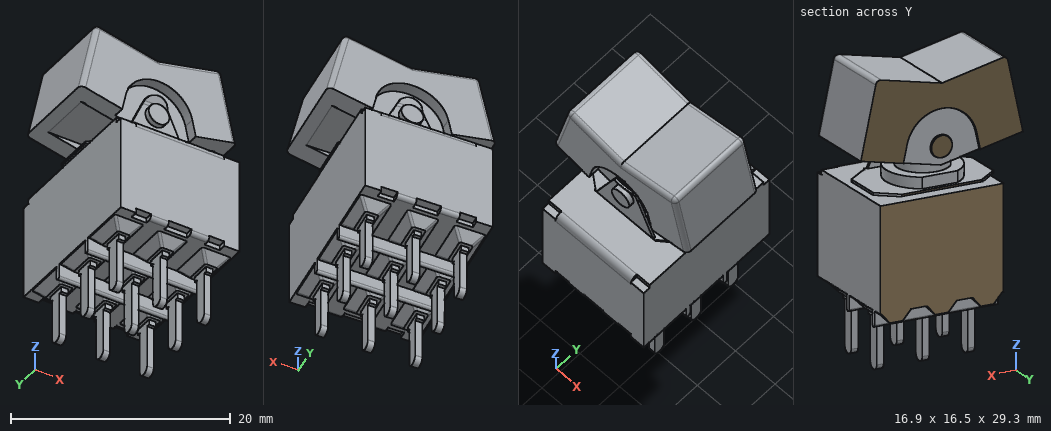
import cadquery as cq
import math


HOUSING_X = 12.8
HOUSING_Y = 16.5
HOUSING_Z = 10.53
STRIP_X = 9.5
END_DEPTH = 0.8
POST_DROP = 0.5
FOOT_FILLET = 0.4
FOOT_NOTCH_Z = 0.5
FOOT_NOTCH_X = 2.43
FOOT_NOTCH_INNER_X = 3.15

TERMINAL_PITCH_X = 4.72
TERMINAL_PITCH_Y = 4.85
TERMINAL_X = 0.73
TERMINAL_Y = 1.25
TERMINAL_TIP_Z = -6.63
SHOULDER_Y = 1.95
SHOULDER_Z = -1.55
SEAL_X = 3.1
SEAL_Y = 4.4
SEAL_HEIGHT = 1.0
SEAL_INSET = 0.88
SEAL_FILLET = 0.3
RIB_Y = 0.5
RIB_Z = -1.55

SHEET = 0.25
BRACKET_Z = 11.03
BRACKET_X = 12.5
BRACKET_END_Y = 4.1
EAR_OUTER_Y = 4.08
EAR_PLATE_X = 7.68
EAR_FOOT_X = 7.4
EAR_SLOPE = 24.0
EAR_BEND_RADIUS = 0.3
FLARE_Z = 16.4
FLARE_ANGLE = 30.0
FLARE_BEND_RADIUS = 0.65
EAR_TIP_Z = 17.28
EAR_TIP_DIAMETER = 3.2

COLLAR_DIAMETER = 7.57
COLLAR_Y = 6.63
COLLAR_TOP_Z = 12.4
STEM_DIAMETER = 5.2
PIN_DIAMETER = 2.2
PIVOT_Z = 15.15

ROCKER_X = 16.86
ROCKER_Y = 9.33
ROCKER_TOP_Z = 22.7
ROCKER_TILT = 12.3
ROCKER_FILLET = 0.5
RECESS_RADIUS = 3.67
WEB_OUTER_Y = 3.5
WEB_INNER_Y = 2.8
SLOT_CEILING_Z = 14.9


def box_on(x, y, z_low, z_high):
    """Box centred on the Z axis between two heights."""
    return cq.Workplane("XY", origin=(0, 0, z_low)).rect(x, y).extrude(z_high - z_low)


def make_housing_block():
    core = box_on(HOUSING_X, HOUSING_Y - 2 * END_DEPTH, 0, HOUSING_Z)
    posts = box_on(HOUSING_X, HOUSING_Y, 0, HOUSING_Z - POST_DROP)
    post_gap = box_on(STRIP_X, HOUSING_Y, 0, HOUSING_Z)
    strip = (
        box_on(STRIP_X, HOUSING_Y, 0, HOUSING_Z)
        .edges("|X and >Z").fillet(END_DEPTH)
        .edges("|X and <Z").fillet(FOOT_FILLET)
    )
    outer_notch_x = STRIP_X / 2 - FOOT_NOTCH_INNER_X
    outer_notch_center = (STRIP_X / 2 + FOOT_NOTCH_INNER_X) / 2
    notches = [(0, FOOT_NOTCH_X), (-outer_notch_center, outer_notch_x), (outer_notch_center, outer_notch_x)]
    for center, width in notches:
        strip = strip.cut(box_on(width, HOUSING_Y, 0, FOOT_NOTCH_Z).translate((center, 0, 0)))
    return posts.cut(post_gap).union(strip).union(core)


def make_terminal():
    """Flat terminal with a round tip, its shoulder and the sloped seal at its root."""
    half_y = TERMINAL_Y / 2
    blade = (
        cq.Workplane("YZ")
        .moveTo(-half_y, 0)
        .lineTo(-half_y, TERMINAL_TIP_Z + half_y)
        .threePointArc((0, TERMINAL_TIP_Z), (half_y, TERMINAL_TIP_Z + half_y))
        .lineTo(half_y, 0)
        .close()
        .extrude(TERMINAL_X / 2, both=True)
    )
    shoulder = box_on(TERMINAL_X, SHOULDER_Y, SHOULDER_Z, 0)
    seal_taper = math.degrees(math.atan(SEAL_INSET / SEAL_HEIGHT))
    seal = (
        cq.Workplane("XY")
        .rect(SEAL_X, SEAL_Y)
        .extrude(-SEAL_HEIGHT, taper=seal_taper)
        .edges("not #Z").fillet(SEAL_FILLET)
    )
    return seal.union(shoulder).union(blade)


def make_rib():
    half_y = RIB_Y / 2
    return (
        cq.Workplane("YZ")
        .moveTo(-half_y, 0)
        .lineTo(-half_y, RIB_Z + half_y)
        .threePointArc((0, RIB_Z), (half_y, RIB_Z + half_y))
        .lineTo(half_y, 0)
        .close()
        .extrude(HOUSING_X / 2, both=True)
    )


def make_housing():
    housing = make_housing_block()
    for row in (-1, 0, 1):
        for column in (-1, 0, 1):
            place = (column * TERMINAL_PITCH_X, row * TERMINAL_PITCH_Y, 0)
            housing = housing.union(make_terminal().translate(place))
    for side in (-1, 1):
        housing = housing.union(make_rib().translate((0, side * TERMINAL_PITCH_Y / 2, 0)))
    return housing


def make_bent_sheet():
    """Half of the bracket sheet: base plate, upright ear and flared lip on the +Y side."""
    flare = math.radians(FLARE_ANGLE)
    lip_shift = (EAR_TIP_Z - FLARE_Z) * math.tan(flare)
    lip_sheet_y = SHEET / math.cos(flare)
    bend_shift = SHEET * math.tan(flare / 2)
    inner_y = EAR_OUTER_Y - SHEET
    lip_outer_y = EAR_OUTER_Y + lip_shift
    sheet = (
        cq.Workplane("YZ")
        .polyline([
            (0, BRACKET_Z),
            (EAR_OUTER_Y, BRACKET_Z),
            (EAR_OUTER_Y, FLARE_Z),
            (lip_outer_y, EAR_TIP_Z),
            (lip_outer_y - lip_sheet_y, EAR_TIP_Z),
            (inner_y, FLARE_Z + bend_shift),
            (inner_y, BRACKET_Z + SHEET),
            (0, BRACKET_Z + SHEET),
        ])
        .close()
        .extrude(BRACKET_X / 2, both=True)
    )
    foot_bend = cq.NearestToPointSelector((0, EAR_OUTER_Y, BRACKET_Z))
    lip_bend = cq.NearestToPointSelector((0, EAR_OUTER_Y, FLARE_Z))
    return sheet.edges(foot_bend).fillet(EAR_BEND_RADIUS).edges(lip_bend).fillet(FLARE_BEND_RADIUS)


def make_bracket():
    half_sheet = make_bent_sheet()
    sheet = half_sheet.union(half_sheet.mirror("XZ"))

    half_x = BRACKET_X / 2
    half_ear_x = EAR_PLATE_X / 2
    half_end_y = BRACKET_END_Y / 2
    ear_reach = ROCKER_Y / 2
    corner_y = EAR_OUTER_Y - EAR_BEND_RADIUS / 2
    quarter = [(half_x, half_end_y), (half_ear_x, corner_y), (half_ear_x, ear_reach)]
    right_side = [(x, -y) for x, y in reversed(quarter)] + quarter
    left_side = [(-x, -y) for x, y in right_side]
    plan = (
        cq.Workplane("XY", origin=(0, 0, BRACKET_Z))
        .polyline(right_side + left_side).close()
        .extrude(EAR_TIP_Z - BRACKET_Z)
    )

    plate_zone = box_on(BRACKET_X, 2 * ear_reach, BRACKET_Z, BRACKET_Z + SHEET)
    tip_center_z = EAR_TIP_Z - EAR_TIP_DIAMETER / 2
    narrowing = (EAR_TIP_Z - BRACKET_Z) * math.tan(math.radians(EAR_SLOPE))
    foot_half = EAR_FOOT_X / 2
    tip_half = foot_half - narrowing
    taper_zone = (
        cq.Workplane("XZ")
        .polyline([
            (-foot_half, BRACKET_Z),
            (foot_half, BRACKET_Z),
            (tip_half, EAR_TIP_Z),
            (-tip_half, EAR_TIP_Z),
        ])
        .close()
        .extrude(ear_reach, both=True)
    )
    tip_round = (
        cq.Workplane("XZ", origin=(0, 0, tip_center_z))
        .circle(EAR_TIP_DIAMETER / 2)
        .extrude(ear_reach, both=True)
    )
    round_zone = tip_round.union(box_on(BRACKET_X, 2 * ear_reach, BRACKET_Z, tip_center_z))
    return sheet.intersect(plan).intersect(plate_zone.union(taper_zone.intersect(round_zone)))


def make_bushing():
    collar = cq.Workplane("XY", origin=(0, 0, BRACKET_Z)).circle(COLLAR_DIAMETER / 2)
    collar = collar.extrude(COLLAR_TOP_Z - BRACKET_Z)
    collar = collar.intersect(box_on(COLLAR_DIAMETER, COLLAR_Y, BRACKET_Z, COLLAR_TOP_Z))
    stem = cq.Workplane("XY", origin=(0, 0, BRACKET_Z)).circle(STEM_DIAMETER / 2)
    return collar.union(stem.extrude(SLOT_CEILING_Z - BRACKET_Z))


def make_pins():
    """Pin stub on each side, from the web through the ear to the rocker's side face."""
    pin = (
        cq.Workplane("XZ", origin=(0, -WEB_INNER_Y, PIVOT_Z))
        .circle(PIN_DIAMETER / 2)
        .extrude(ROCKER_Y / 2 - WEB_INNER_Y)
    )
    return pin.union(pin.mirror("XZ"))


def make_rocker():
    tilt = math.radians(ROCKER_TILT)
    fillet_loss = ROCKER_FILLET * (math.sin(tilt) + math.cos(tilt) - 1)
    height = (ROCKER_TOP_Z - PIVOT_Z + fillet_loss) / math.cos(tilt)

    block = cq.Workplane("XY").box(ROCKER_X, ROCKER_Y, height, centered=(False, True, False))
    block = block.edges("(<X and |Z) or (>Z and |X) or (<X and >Z)").fillet(ROCKER_FILLET)
    block = block.rotate((0, 0, 0), (0, 1, 0), ROCKER_TILT).translate((-ROCKER_X / 2, 0, PIVOT_Z))
    left_side = box_on(ROCKER_X, ROCKER_Y, 0, ROCKER_TOP_Z).translate((-ROCKER_X / 2, 0, 0))
    half = block.intersect(left_side)

    slot = box_on(ROCKER_X, 2 * WEB_INNER_Y, 0, SLOT_CEILING_Z)
    rocker = half.union(half.mirror("YZ")).cut(slot)

    tangent_x = RECESS_RADIUS * math.cos(tilt)
    tangent_z = RECESS_RADIUS * math.sin(tilt)
    skirt = RECESS_RADIUS
    foot_x = tangent_x + skirt * math.sin(tilt)
    foot_z = tangent_z - skirt * math.cos(tilt)
    for side in (-1, 1):
        recess = (
            cq.Workplane("XZ", origin=(0, side * WEB_OUTER_Y, PIVOT_Z))
            .moveTo(-foot_x, foot_z)
            .lineTo(-tangent_x, tangent_z)
            .threePointArc((0, RECESS_RADIUS), (tangent_x, tangent_z))
            .lineTo(foot_x, foot_z)
            .close()
            .extrude(-side * ROCKER_Y)
        )
        rocker = rocker.cut(recess)
    return rocker


def make_actuator():
    """Rocker on its pin, bracket and bushing, all one solid."""
    return make_rocker().union(make_pins()).union(make_bracket()).union(make_bushing())


housing = make_housing()
actuator = make_actuator()

result = cq.Compound.makeCompound([housing.val(), actuator.val()])